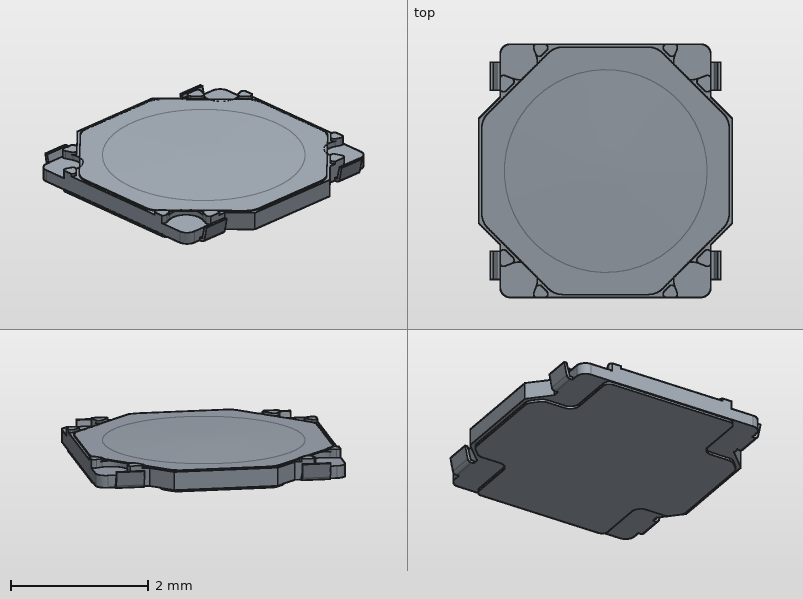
import cadquery as cq
import math

SIZE = 3.7
HEIGHT = 0.35

BASE_TOP = 0.04
POCKET_FLOOR = 0.225
BODY_TOP = 0.31
FOIL_TOP = 0.325

BLOCK_WIDTH = 3.08
BLOCK_CORNER_RADIUS = 0.15

POCKET_LENGTH = 0.433
POCKET_WIDTH = 0.465
POCKET_EDGE_ANGLE = 20.8
POCKET_RADIUS = 0.265
PEG_OUTER_RADIUS = 0.06
PEG_INNER_RADIUS = 0.05
PEG_OVERHANG = 0.007
POCKET_MARGIN = 0.185

FOIL_INSET = 0.045
FOIL_CORNER_RADIUS = 0.3
DOME_RADIUS = 1.48

SLAB_LENGTH = 3.663
SLAB_NECK_WIDTH = 2.205
SLAB_NECK_RADIUS = 0.1
SLAB_WING_SPAN = 3.58
SLAB_WING_WIDTH = 1.813
SLAB_WING_CHAMFER = 0.175
SLAB_WING_RADIUS = 0.15
SLAB_INNER_RADIUS = 0.15

TERMINAL_WIDTH = 0.415
TERMINAL_CENTER_Y = 1.38
TERMINAL_TOP = 0.3
TERMINAL_TIP_X = 1.685
TERMINAL_HEEL_X = 1.63
TERMINAL_THICKNESS = 0.045
TERMINAL_OUTER_RADIUS = 0.063
TERMINAL_INNER_RADIUS = 0.01
TERMINAL_EMBED = 0.037

HALF = SIZE / 2
BLOCK_HALF = BLOCK_WIDTH / 2


def octagon(across_flats, bottom, top):
    """Regular octagonal plate with flats facing X and Y."""
    diameter = across_flats / math.cos(math.pi / 8)
    plate = cq.Workplane("XY").workplane(offset=bottom).polygon(8, diameter).extrude(top - bottom)
    return plate.rotate((0, 0, 0), (0, 0, 1), 22.5)


def box(x_size, y_size, bottom, top):
    """Box centred on the Z axis."""
    return cq.Workplane("XY").workplane(offset=bottom).rect(x_size, y_size).extrude(top - bottom)


def in_all_corners(shape):
    """Mirror a shape from the -X +Y corner into all four corners."""
    pair = shape.union(shape.mirror("YZ"))
    return pair.union(pair.mirror("XZ"))


def corner_prism(points, bottom, top):
    """Prism from points given as distances inward from the -X +Y block corner."""
    outline = [(u - BLOCK_HALF, HALF - v) for u, v in points]
    return cq.Workplane("XY").workplane(offset=bottom).polyline(outline).close().extrude(top - bottom)


def round_at(shape, point, radius):
    """Fillet the upright edge nearest to a point given from the block corner."""
    u, v = point
    place = (u - BLOCK_HALF, HALF - v, BODY_TOP)
    return shape.edges("|Z").edges(cq.selectors.NearestToPointSelector(place)).fillet(radius)


def swap(point):
    """Reflect a point across the diagonal through the block corner."""
    return point[1], point[0]


slope = math.tan(math.radians(POCKET_EDGE_ANGLE))
apex_v = (POCKET_LENGTH + slope * POCKET_WIDTH) / (1 - slope ** 2)
pocket_apex = (POCKET_WIDTH + slope * apex_v, apex_v)
diagonal_sum = HALF + BLOCK_HALF - SIZE / math.sqrt(2)


def edge_start(reach):
    """Start of the straight pocket edge that would meet the block side at the given reach."""
    return -PEG_OVERHANG, reach - slope * PEG_OVERHANG


def make_pocket():
    """Cutter for one corner pocket, with the pegs bulging into it at both ends."""
    def end_outline(reach):
        start = edge_start(reach)
        side_v = start[1] + PEG_OUTER_RADIUS * 2
        return [(-POCKET_MARGIN, side_v), (-PEG_OVERHANG, side_v), start]

    outline = [(-POCKET_MARGIN, -POCKET_MARGIN)]
    outline += end_outline(POCKET_LENGTH)
    outline.append(pocket_apex)
    outline += [swap(p) for p in reversed(end_outline(POCKET_WIDTH))]
    pocket = corner_prism(outline, POCKET_FLOOR, HEIGHT)
    pocket = round_at(pocket, pocket_apex, POCKET_RADIUS)
    pocket = round_at(pocket, edge_start(POCKET_LENGTH), PEG_OUTER_RADIUS)
    return round_at(pocket, swap(edge_start(POCKET_WIDTH)), PEG_OUTER_RADIUS)


def make_peg(reach):
    """Rounded triangular peg between the X-facing block side, the pocket edge and the octagon."""
    start = edge_start(reach)
    tip_u = (diagonal_sum - reach) / (1 + slope)
    tip = (tip_u, diagonal_sum - tip_u)
    heel = (-PEG_OVERHANG, diagonal_sum + PEG_OVERHANG)
    peg = corner_prism([start, tip, heel], POCKET_FLOOR, HEIGHT)
    peg = round_at(peg, start, PEG_OUTER_RADIUS)
    peg = round_at(peg, heel, PEG_OUTER_RADIUS)
    return round_at(peg, tip, PEG_INNER_RADIUS)


def mirror_in_corner(shape):
    """Reflect a shape across the diagonal through the -X +Y block corner."""
    on_axis = shape.translate((BLOCK_HALF, -HALF, 0))
    flipped = on_axis.rotate((0, 0, 0), (0, 0, 1), -90).mirror("YZ")
    return flipped.translate((-BLOCK_HALF, HALF, 0))


def make_body():
    """Octagon and corner block, with pockets and pegs in the four corners."""
    block = box(BLOCK_WIDTH, SIZE, BASE_TOP, HEIGHT)
    block = block.edges("|Z").fillet(BLOCK_CORNER_RADIUS)
    pegs = make_peg(POCKET_LENGTH).union(mirror_in_corner(make_peg(POCKET_WIDTH)))
    pegs = pegs.intersect(block)
    body = octagon(SIZE, BASE_TOP, BODY_TOP)
    body = body.union(block.intersect(box(SIZE, SIZE, BASE_TOP, BODY_TOP)))
    body = body.cut(in_all_corners(make_pocket()))
    return body.union(in_all_corners(pegs))


def make_foil():
    """Thin octagonal foil with rounded corners and a shallow conical dome."""
    foil = octagon(SIZE - 2 * FOIL_INSET, BODY_TOP, FOIL_TOP)
    foil = foil.edges("|Z").fillet(FOIL_CORNER_RADIUS)
    dome = cq.Solid.makeCone(DOME_RADIUS, 0, HEIGHT - FOIL_TOP, pnt=cq.Vector(0, 0, FOIL_TOP))
    return foil.union(cq.Workplane(obj=dome))


def make_slab():
    """Cross-shaped slab under the body."""
    neck = box(SLAB_NECK_WIDTH, SLAB_LENGTH, 0, BASE_TOP)
    neck = neck.edges("|Z").fillet(SLAB_NECK_RADIUS)
    wings = box(SLAB_WING_SPAN, SLAB_WING_WIDTH, 0, BASE_TOP)
    wings = wings.edges("|Z").chamfer(SLAB_WING_CHAMFER)
    wings = wings.edges("|Z").fillet(SLAB_WING_RADIUS)
    slab = neck.union(wings)
    inner_x = SLAB_NECK_WIDTH / 2
    inner_y = SLAB_WING_WIDTH / 2
    for x in (-inner_x, inner_x):
        for y in (-inner_y, inner_y):
            inner_corner = cq.selectors.NearestToPointSelector((x, y, BASE_TOP / 2))
            slab = slab.edges("|Z").edges(inner_corner).fillet(SLAB_INNER_RADIUS)
    return slab


def make_terminal():
    """Bent sheet terminal beside the -X +Y corner, its foot let into the block."""
    foot_end = -BLOCK_HALF + TERMINAL_EMBED
    foot_top = BASE_TOP + TERMINAL_THICKNESS
    inner_heel = -TERMINAL_HEEL_X + TERMINAL_THICKNESS
    outline = [
        (-TERMINAL_TIP_X, TERMINAL_TOP),
        (-TERMINAL_HEEL_X, BASE_TOP),
        (foot_end, BASE_TOP),
        (foot_end, foot_top),
        (inner_heel, foot_top),
        (-TERMINAL_TIP_X + TERMINAL_THICKNESS, TERMINAL_TOP),
    ]
    front = cq.Workplane("XZ", origin=(0, TERMINAL_CENTER_Y + TERMINAL_WIDTH / 2, 0))
    terminal = front.polyline(outline).close().extrude(TERMINAL_WIDTH)
    heel = cq.selectors.NearestToPointSelector((-TERMINAL_HEEL_X, TERMINAL_CENTER_Y, BASE_TOP))
    terminal = terminal.edges("|Y").edges(heel).fillet(TERMINAL_OUTER_RADIUS)
    bend = cq.selectors.NearestToPointSelector((inner_heel, TERMINAL_CENTER_Y, foot_top))
    return terminal.edges("|Y").edges(bend).fillet(TERMINAL_INNER_RADIUS)


result = (
    make_body()
    .union(make_foil())
    .union(make_slab())
    .union(in_all_corners(make_terminal()))
)